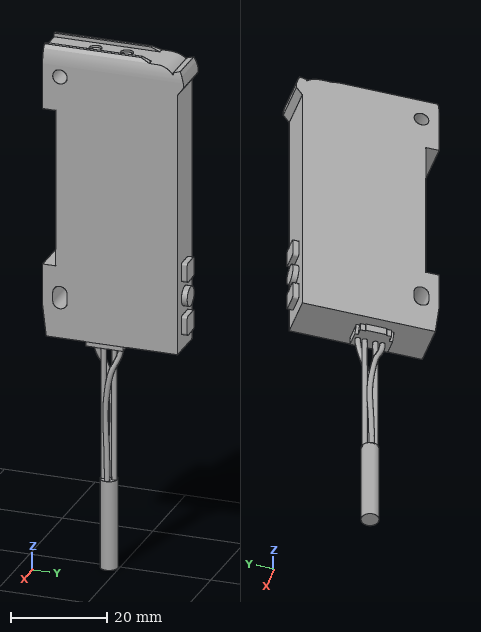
import cadquery as cq
import math


WIDTH = 9.0
BACK_Y = 29.8
OVERALL_DEPTH = 31.1
OVERALL_HEIGHT = 117.5
TOP_Z = 64.7
SHOULDER_Z = 61.6
FOOT_TAPER = 0.8
FOOT_TAPER_HEIGHT = 7.0

NOTCH_DEPTH = 2.9
NOTCH_BOTTOM_Z = 16.2
NOTCH_TOP_Z = 51.3

MOUNT_Y = 3.9
MOUNT_DIAMETER = 3.2
ROUND_HOLE_Z = 59.1
SLOT_Z = 9.2
SLOT_LENGTH = 5.0

RAIL_HEIGHT = 0.8
RAIL_INNER_X = 2.6
RAIL_CREST_X = 3.3
RAIL_FOOT_X = 3.9
RAIL_START_Y = 23.4
RAIL_FULL_Y = 21.4
RAIL_TOP_Z = TOP_Z + RAIL_HEIGHT

CORNER_RADIUS = 4.9
CORNER_START_Y = 25.1
LIP_FRONT_Y = 28.8
LIP_FRONT_Z = 63.6
LIP_CREST_Y = 30.3
LIP_CREST_Z = 64.0
LIP_BACK_Y = 30.8
LIP_BACK_Z = 63.0
BULGE_LOW_Z = 60.5
BULGE_END_Z = 58.8

INDICATOR_DIAMETER = 2.7
INDICATOR_DEPTH = 0.5
INDICATOR_YS = (10.1, 17.0)

BUTTON_SIZE = 4.3
BUTTON_PITCH = 6.0
BUTTON_MIDDLE_Z = 11.6
BUTTON_CORNER = 0.6
BUTTON_REACH = OVERALL_DEPTH - BACK_Y

CABLE_X = 0.8
CABLE_Y = 13.4
CABLE_BOTTOM_Z = RAIL_TOP_Z - OVERALL_HEIGHT
SHEATH_DIAMETER = 3.8
SHEATH_LENGTH = 20.1
PLUG_HEIGHT = 1.8
PLUG_DEPTH = 8.2
PLUG_Y = 13.0
PLUG_MIN_X = -1.6
PLUG_MAX_X = 2.8
PLUG_SLOPE_RUN = 1.0
LATCH_DEPTH = 6.8
LATCH_MIN_X = -2.1
LATCH_PAD_DEPTH = 4.6
LATCH_PAD_MIN_X = -2.4
WIRE_DIAMETER = 1.2
WIRE_SPREAD = 1.2
OUTER_WIRE_OFFSET = 2.7
WIRE_GATHER_DROP = 10.6
PASSING_SHARE = 0.9
WIRE_EMBED = 0.6
WIRE_TOP_Z = WIRE_EMBED - PLUG_HEIGHT
WIRE_BOTTOM_Z = CABLE_BOTTOM_Z + SHEATH_LENGTH - WIRE_EMBED


def box_between(x_range, y_range, z_range):
    (x0, x1), (y0, y1), (z0, z1) = x_range, y_range, z_range
    return cq.Workplane("XY").box(x1 - x0, y1 - y0, z1 - z0, centered=False).translate((x0, y0, z0))


def extrude_across_width(outline):
    return outline.extrude(WIDTH / 2, both=True)


def side_block():
    corner_center_z = TOP_Z - CORNER_RADIUS
    corner_run = LIP_FRONT_Y - CORNER_START_Y
    corner_end_z = corner_center_z + math.sqrt(CORNER_RADIUS**2 - corner_run**2)
    return extrude_across_width(
        cq.Workplane("YZ")
        .moveTo(FOOT_TAPER, 0)
        .lineTo(BACK_Y, 0)
        .lineTo(BACK_Y, BULGE_END_Z)
        .lineTo(OVERALL_DEPTH, BULGE_LOW_Z)
        .lineTo(OVERALL_DEPTH, SHOULDER_Z)
        .lineTo(LIP_BACK_Y, LIP_BACK_Z)
        .lineTo(LIP_CREST_Y, LIP_CREST_Z)
        .lineTo(LIP_FRONT_Y, LIP_FRONT_Z)
        .lineTo(LIP_FRONT_Y, corner_end_z)
        .radiusArc((CORNER_START_Y, TOP_Z), -CORNER_RADIUS)
        .lineTo(0, TOP_Z)
        .lineTo(0, NOTCH_TOP_Z)
        .lineTo(NOTCH_DEPTH, NOTCH_TOP_Z)
        .lineTo(NOTCH_DEPTH, NOTCH_BOTTOM_Z)
        .lineTo(0, NOTCH_BOTTOM_Z)
        .lineTo(0, FOOT_TAPER_HEIGHT)
        .close()
    )


def top_rails():
    strip = extrude_across_width(
        cq.Workplane("YZ")
        .polyline([(0, TOP_Z), (RAIL_START_Y, TOP_Z), (RAIL_FULL_Y, RAIL_TOP_Z), (0, RAIL_TOP_Z)])
        .close()
    )
    channel = box_between(
        (-RAIL_INNER_X, RAIL_INNER_X), (0, RAIL_START_Y), (TOP_Z, RAIL_TOP_Z)
    )
    return strip.cut(channel)


def rounded_envelope():
    """Front outline whose long edges curve inward up to sloped rail sides, swept along the depth."""
    half = WIDTH / 2
    edge_inset = half - RAIL_FOOT_X
    edge_rise = TOP_Z - SHOULDER_Z
    edge_radius = (edge_inset**2 + edge_rise**2) / (2 * edge_inset)
    return (
        cq.Workplane("XZ")
        .moveTo(-half, 0)
        .lineTo(half, 0)
        .lineTo(half, SHOULDER_Z)
        .radiusArc((RAIL_FOOT_X, TOP_Z), -edge_radius)
        .lineTo(RAIL_CREST_X, RAIL_TOP_Z)
        .lineTo(-RAIL_CREST_X, RAIL_TOP_Z)
        .lineTo(-RAIL_FOOT_X, TOP_Z)
        .radiusArc((-half, SHOULDER_Z), -edge_radius)
        .close()
        .extrude(-OVERALL_DEPTH)
    )


def mounting_holes():
    round_hole = cq.Workplane("YZ").center(MOUNT_Y, ROUND_HOLE_Z).circle(MOUNT_DIAMETER / 2)
    slot = cq.Workplane("YZ").center(MOUNT_Y, SLOT_Z).slot2D(SLOT_LENGTH, MOUNT_DIAMETER, 90)
    return extrude_across_width(round_hole).union(extrude_across_width(slot))


def indicators():
    return (
        cq.Workplane("XY", origin=(0, 0, TOP_Z))
        .pushPoints([(0, y) for y in INDICATOR_YS])
        .circle(INDICATOR_DIAMETER / 2)
        .extrude(-INDICATOR_DEPTH)
    )


def back_buttons():
    """A round button between two square ones with rounded corners."""
    back = cq.Workplane("XZ", origin=(0, BACK_Y, BUTTON_MIDDLE_Z))
    round_button = back.circle(BUTTON_SIZE / 2).extrude(-BUTTON_REACH)
    square_buttons = (
        back.pushPoints([(0, -BUTTON_PITCH), (0, BUTTON_PITCH)])
        .rect(BUTTON_SIZE, BUTTON_SIZE)
        .extrude(-BUTTON_REACH)
        .edges("|Y")
        .fillet(BUTTON_CORNER)
    )
    return round_button.union(square_buttons)


def make_housing():
    shell = side_block().union(top_rails()).intersect(rounded_envelope())
    return shell.cut(mounting_holes()).cut(indicators()).union(back_buttons())


def plug():
    """Plug with a leaning side; a latch with a raised pad stands upright on that side."""
    latch_back_x = PLUG_MIN_X + PLUG_SLOPE_RUN
    block = (
        cq.Workplane("XZ", origin=(0, PLUG_Y, 0))
        .polyline([(PLUG_MIN_X, 0), (PLUG_MAX_X, 0), (PLUG_MAX_X, -PLUG_HEIGHT), (latch_back_x, -PLUG_HEIGHT)])
        .close()
        .extrude(PLUG_DEPTH / 2, both=True)
    )
    for min_x, depth in ((LATCH_MIN_X, LATCH_DEPTH), (LATCH_PAD_MIN_X, LATCH_PAD_DEPTH)):
        y_range = (PLUG_Y - depth / 2, PLUG_Y + depth / 2)
        block = block.union(box_between((min_x, latch_back_x), y_range, (-PLUG_HEIGHT, 0)))
    return block


def straight_wire(side):
    """Wire that runs straight down at one side of the cable axis."""
    return (
        cq.Workplane("XY", origin=(CABLE_X, CABLE_Y + side * WIRE_SPREAD, WIRE_TOP_Z))
        .circle(WIRE_DIAMETER / 2)
        .extrude(WIRE_BOTTOM_Z - WIRE_TOP_Z)
    )


def bent_wire(side):
    """Wire that starts wide along Y, bends around its neighbour and ends beside the axis along X."""
    start = (CABLE_X, CABLE_Y + side * OUTER_WIRE_OFFSET, WIRE_TOP_Z)
    passing = (
        CABLE_X + side * WIRE_SPREAD * PASSING_SHARE,
        CABLE_Y + side * WIRE_SPREAD,
        WIRE_TOP_Z - WIRE_GATHER_DROP / 2,
    )
    gathered = (CABLE_X + side * WIRE_SPREAD, CABLE_Y, WIRE_TOP_Z - WIRE_GATHER_DROP)
    end = (gathered[0], gathered[1], WIRE_BOTTOM_Z)
    path = cq.Workplane("XY").spline([start, passing, gathered, end], tangents=[(0, 0, -1), (0, 0, -1)])
    return cq.Workplane("XY", origin=start).circle(WIRE_DIAMETER / 2).sweep(path)


def sheath():
    return (
        cq.Workplane("XY", origin=(CABLE_X, CABLE_Y, CABLE_BOTTOM_Z))
        .circle(SHEATH_DIAMETER / 2)
        .extrude(SHEATH_LENGTH)
    )


def make_cable():
    cable = plug().union(sheath())
    for side in (-1, 1):
        cable = cable.union(straight_wire(side)).union(bent_wire(side))
    return cable


housing = make_housing()
cable = make_cable()
result = cq.Compound.makeCompound([housing.solids().val(), cable.solids().val()])